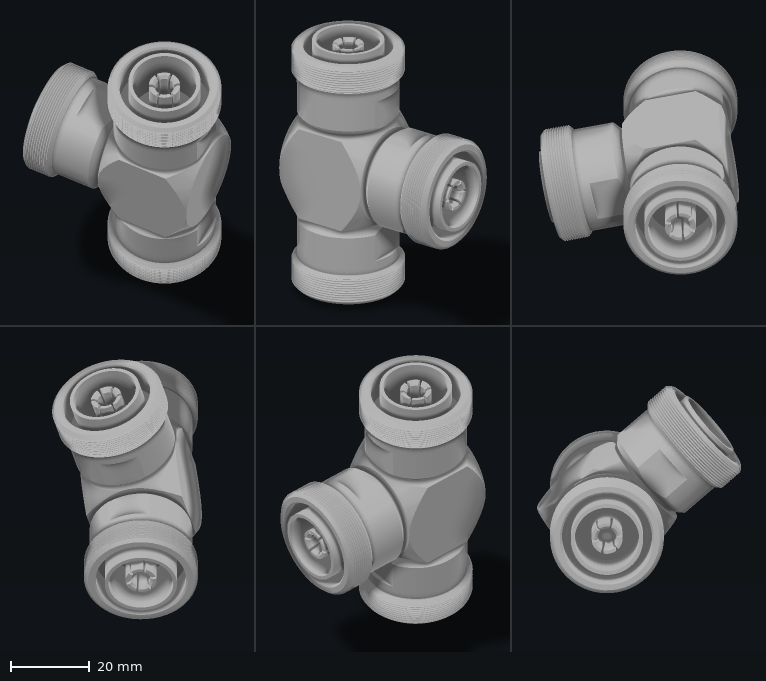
import cadquery as cq
import math


HUB_SIZE = 25.2
HUB_HALF = HUB_SIZE / 2
HUB_CONE_ANGLE = 49.0

TIP = 34.8
COLLAR_FRONT = 33.6
THREAD_REAR = 26.25
COLLAR_REAR = 25.5
FLAT_END = 22.5
BARREL_CHAMFER_START = 15.1
BARREL_REAR = 13.45

THREAD_CREST = 14.5
THREAD_ROOT = 14.1
COLLAR_CHAMFER = 1.05
BARREL_RADIUS = 13.1
NECK_RADIUS = 10.6
FLAT_OFFSET = 12.0
COLLAR_BORE = 11.5
BORE_CHAMFER = 0.5

THREAD_PITCH = 0.65
THREAD_TURNS = 10
THREAD_START_ANGLE = 20.0
GROOVE_OVERSHOOT = 0.015
GROOVE_SHARE = 0.48

SLEEVE_OUTER = 9.2
SLEEVE_INNER = 8.2
SLEEVE_FLOOR = 20.9
CONTACT_OUTER = 4.0
CONTACT_BORE = 2.45
CONTACT_CHAMFER = 0.7
CONTACT_TIP = COLLAR_FRONT
CONTACT_FLOOR = 25.1
SLOT_WIDTH = 0.7
SLOT_COUNT = 6


def cylinder(radius, bottom, top):
    return cq.Workplane("XY").workplane(offset=bottom).circle(radius).extrude(top - bottom)


def make_hub():
    """Cube whose corners are turned down by a cone about X at both ends."""
    cube = cq.Workplane("XY").box(HUB_SIZE, HUB_SIZE, HUB_SIZE)
    cone_slope = math.tan(math.radians(HUB_CONE_ANGLE))
    apex = HUB_HALF + HUB_HALF * cone_slope
    base_radius = apex / cone_slope
    double_cone = (
        cq.Workplane("XY")
        .polyline([(-apex, 0), (0, base_radius), (apex, 0)])
        .close()
        .revolve(360, (0, 0, 0), (1, 0, 0))
    )
    end_trim = cq.Workplane("XY").box(HUB_SIZE, 2 * base_radius, 2 * base_radius)
    return cube.intersect(double_cone.intersect(end_trim))


def make_barrel():
    """Neck and barrel, turned about Z from the hub centre to the rear of the collar."""
    barrel_chamfer = BARREL_CHAMFER_START - BARREL_REAR
    profile = [
        (0, 0),
        (NECK_RADIUS, 0),
        (NECK_RADIUS, BARREL_REAR),
        (BARREL_RADIUS - barrel_chamfer, BARREL_REAR),
        (BARREL_RADIUS, BARREL_CHAMFER_START),
        (BARREL_RADIUS, COLLAR_REAR),
        (0, COLLAR_REAR),
    ]
    return cq.Workplane("XZ").polyline(profile).close().revolve(360, (0, 0, 0), (0, 1, 0))


def make_collar():
    """Threaded ring with chamfered ends and a chamfered mouth.

    The thread is cut into a plain ring first; the chamfers then trim its ends.
    """
    profile = [
        (COLLAR_BORE, COLLAR_REAR),
        (THREAD_CREST - COLLAR_CHAMFER, COLLAR_REAR),
        (THREAD_CREST, COLLAR_REAR + COLLAR_CHAMFER),
        (THREAD_CREST, COLLAR_FRONT - COLLAR_CHAMFER),
        (THREAD_CREST - COLLAR_CHAMFER, COLLAR_FRONT),
        (COLLAR_BORE + BORE_CHAMFER, COLLAR_FRONT),
        (COLLAR_BORE, COLLAR_FRONT - BORE_CHAMFER),
    ]
    chamfered_ring = cq.Workplane("XZ").polyline(profile).close().revolve(360, (0, 0, 0), (0, 1, 0))
    plain_ring = cylinder(THREAD_CREST, COLLAR_REAR, COLLAR_FRONT)
    plain_ring = plain_ring.cut(cylinder(COLLAR_BORE, COLLAR_REAR, COLLAR_FRONT))
    threaded_ring = plain_ring.cut(make_thread_groove(), clean=False)
    return threaded_ring.intersect(chamfered_ring, clean=False)


def make_thread_groove():
    """V-shaped helical groove cut into the collar; its outer edge lies beyond the crest."""
    depth = THREAD_CREST - THREAD_ROOT + GROOVE_OVERSHOOT
    half_width = THREAD_PITCH * GROOVE_SHARE
    helix = cq.Wire.makeHelix(THREAD_PITCH, THREAD_TURNS * THREAD_PITCH, THREAD_ROOT)
    groove = (
        cq.Workplane("XZ")
        .polyline([
            (THREAD_ROOT, 0),
            (THREAD_ROOT + depth, half_width),
            (THREAD_ROOT + depth, -half_width),
        ])
        .close()
        .sweep(cq.Workplane(helix), isFrenet=True)
    )
    return groove.rotate((0, 0, 0), (0, 0, 1), THREAD_START_ANGLE).translate((0, 0, THREAD_REAR))


def cut_wrench_flats(barrel):
    """Two flats facing +X and -X on the rear part of the barrel."""
    depth = BARREL_RADIUS - FLAT_OFFSET
    length = FLAT_END - BARREL_REAR
    for side in (-1, 1):
        flat = cq.Workplane("XY").box(depth, 2 * BARREL_RADIUS, length).translate(
            (side * (FLAT_OFFSET + depth / 2), 0, BARREL_REAR + length / 2)
        )
        barrel = barrel.cut(flat)
    return barrel


def make_contact():
    """Hollow pin with six slots and a countersunk mouth."""
    contact = cylinder(CONTACT_OUTER, SLEEVE_FLOOR, CONTACT_TIP)
    contact = contact.cut(cylinder(CONTACT_BORE, CONTACT_FLOOR, CONTACT_TIP))
    contact = contact.faces(">Z").edges(cq.selectors.RadiusNthSelector(0)).chamfer(CONTACT_CHAMFER)
    depth = CONTACT_TIP - CONTACT_FLOOR
    for index in range(SLOT_COUNT // 2):
        slot = (
            cq.Workplane("XY")
            .box(SLOT_WIDTH, 2 * CONTACT_OUTER, depth)
            .translate((0, 0, CONTACT_FLOOR + depth / 2))
            .rotate((0, 0, 0), (0, 0, 1), index * 360 / SLOT_COUNT)
        )
        contact = contact.cut(slot)
    return contact


def make_socket():
    """Complete socket opening towards +Z."""
    socket = cut_wrench_flats(make_barrel())
    socket = socket.union(cylinder(SLEEVE_OUTER, SLEEVE_FLOOR, TIP))
    socket = socket.cut(cylinder(SLEEVE_INNER, SLEEVE_FLOOR, TIP))
    socket = socket.union(make_contact())
    return socket.union(make_collar(), clean=False)


SOCKET_TURNS = (0, -90, 180)

socket = make_socket()
adapter = make_hub()
for turn in SOCKET_TURNS:
    adapter = adapter.union(socket.rotate((0, 0, 0), (0, 1, 0), turn), clean=False)
result = adapter.solids()